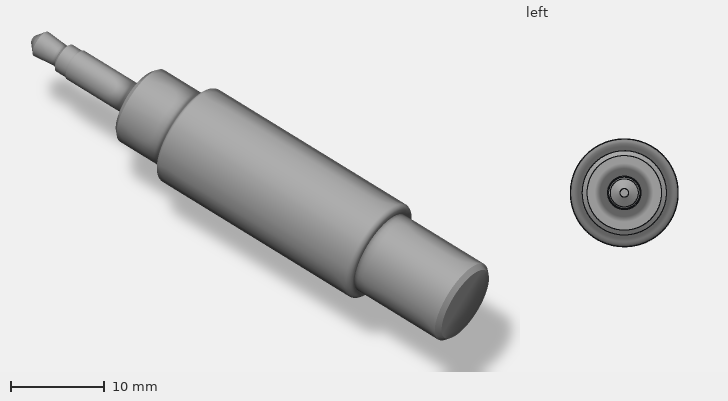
import cadquery as cq

tip_cone_end = 1.0
tip_neck_end = 3.75
collar_start = 4.1
shaft_start = 5.6
shoulder_start = 13.9
body_start = 20.45
body_end = 46.3
total_length = 57.5

tip_flat_radius = 0.45
tip_radius = 1.5
neck_radius = 1.25
collar_radius = 1.65
shaft_radius = 1.8
shoulder_radius = 4.5
body_radius = 5.75
rear_radius = 4.7

edge_break = 0.5


def cylinder(start, end, radius):
    """Solid cylinder on the X axis between two axial positions."""
    return cq.Workplane("YZ", origin=(start, 0, 0)).circle(radius).extrude(end - start)


def plug_pin():
    """Conical tip, tapered neck, collar and shaft of the plug."""
    profile = [
        (0, 0),
        (0, -tip_flat_radius),
        (tip_cone_end, -tip_radius),
        (tip_neck_end, -neck_radius),
        (collar_start, -collar_radius),
        (shaft_start, -collar_radius),
        (shaft_start, -shaft_radius),
        (shoulder_start, -shaft_radius),
        (shoulder_start, 0),
    ]
    return cq.Workplane("XY").polyline(profile).close().revolve(360, (0, 0, 0), (1, 0, 0))


shoulder = cylinder(shoulder_start, body_start, shoulder_radius).faces("<X").chamfer(edge_break)

body = cylinder(body_start, body_end, body_radius).faces("<X or >X").edges().fillet(edge_break)

rear = cylinder(body_end, total_length, rear_radius).faces(">X").chamfer(edge_break)

result = plug_pin().union(shoulder).union(body).union(rear)